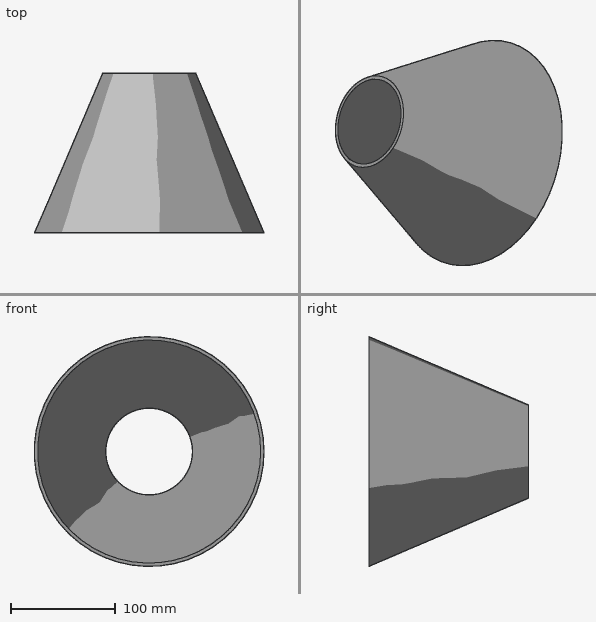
import cadquery as cq

large_diameter = 219.0
small_diameter = 89.0
length = 152.0
radial_wall = 3.3

large_radius = large_diameter / 2
small_radius = small_diameter / 2

wall_section = (
    cq.Workplane("XY")
    .moveTo(large_radius - radial_wall, 0)
    .lineTo(large_radius, 0)
    .lineTo(small_radius, length)
    .lineTo(small_radius - radial_wall, length)
    .close()
)

result = wall_section.revolve(360, (0, 0, 0), (0, 1, 0))